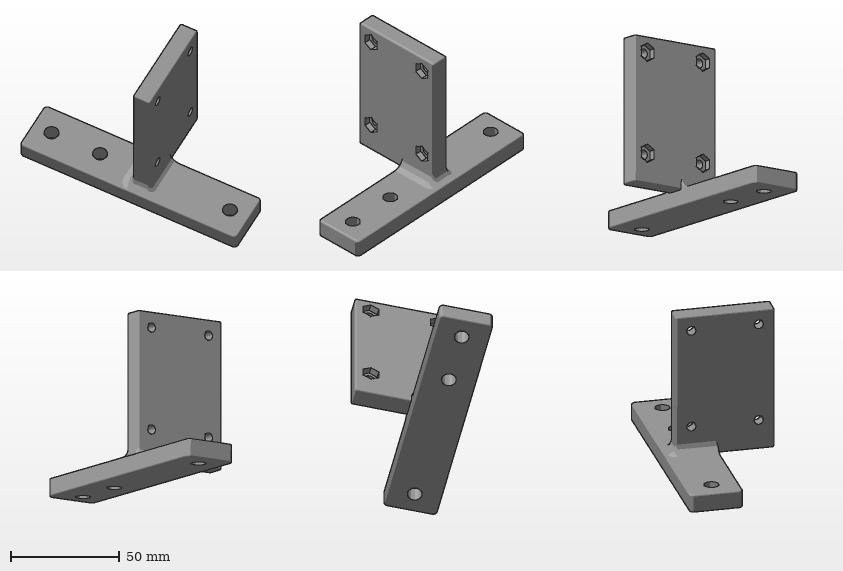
import cadquery as cq

base_length = 113.3
base_width = 25.4
base_height = 9.0
base_corner_radius = 2.0
base_hole_diameter = 6.8
base_hole_xs = (10.0, 35.3, 103.3)

plate_thickness = 9.1
plate_width = 47.0
plate_left = 56.5
plate_front = 5.1
plate_sink = 1.0
overall_height = 78.0
plate_bottom = base_height - plate_sink
plate_height = overall_height - plate_bottom
plate_right = plate_left + plate_thickness

edge_radius = 1.0
joint_radius = 5.0
stub_height = 2 * joint_radius

screw_diameter = 4.3
screw_edge_distance = 7.5
screw_spacing_y = plate_width - 2 * screw_edge_distance
screw_spacing_z = 48.0
nut_corner_diameter = 8.6
nut_pocket_depth = 3.2

margin = 0.01


def box_picker(low, high):
    """Selector for the edges that lie wholly between two corner points."""
    padded_low = tuple(value - margin for value in low)
    padded_high = tuple(value + margin for value in high)
    return cq.selectors.BoxSelector(padded_low, padded_high, boundingbox=True)


def make_bar():
    """Bar with rounded upright corners."""
    bar = cq.Workplane("XY").box(base_length, base_width, base_height, centered=False)
    return bar.edges("|Z").fillet(base_corner_radius)


def make_stub():
    """Foot of the plate above the bar, flush with the back of the bar."""
    stub = cq.Workplane("XY").box(plate_thickness, base_width - plate_front, stub_height, centered=False)
    stub = stub.edges("|Z and <Y").fillet(edge_radius)
    return stub.translate((plate_left, plate_front, base_height))


def make_base():
    """Bar and stub with the filleted joint, then the rounded outer edges."""
    base = make_bar().union(make_stub())

    foot_outline = box_picker(
        (plate_left, plate_front, base_height),
        (plate_right, base_width, base_height),
    )
    base = base.edges(foot_outline).fillet(joint_radius)
    base = base.faces("<Z").edges().fillet(edge_radius)

    top_edges = box_picker((0, 0, base_height), (base_length, base_width, base_height))
    joint_outline = box_picker(
        (plate_left - joint_radius, plate_front - joint_radius, base_height),
        (plate_right + joint_radius, base_width, base_height),
    )
    joint_ends = box_picker(
        (0, base_width, base_height),
        (base_length, base_width, base_height + joint_radius),
    )
    return base.edges(top_edges - joint_outline + joint_ends).fillet(edge_radius)


def make_plate():
    """Plate with every edge rounded."""
    plate = cq.Workplane("XY").box(plate_thickness, plate_width, plate_height, centered=False)
    return plate.edges().fillet(edge_radius).translate((plate_left, plate_front, plate_bottom))


def make_base_holes():
    """Cylinders through the bar, along its centre line."""
    centres = [(x, base_width / 2) for x in base_hole_xs]
    return cq.Workplane("XY").pushPoints(centres).circle(base_hole_diameter / 2).extrude(base_height)


def make_screw_holes():
    """Four through holes in the plate, each with a nut pocket whose corners point up and down."""
    centre_y = plate_front + plate_width / 2
    centre_z = overall_height - screw_edge_distance - screw_spacing_z / 2
    face = cq.Workplane("ZY", origin=(plate_left, centre_y, centre_z))
    pattern = face.rarray(screw_spacing_z, screw_spacing_y, 2, 2)
    holes = pattern.circle(screw_diameter / 2).extrude(-plate_thickness)
    pockets = pattern.polygon(6, nut_corner_diameter).extrude(-nut_pocket_depth)
    return holes.union(pockets)


result = make_base().union(make_plate()).cut(make_base_holes()).cut(make_screw_holes())